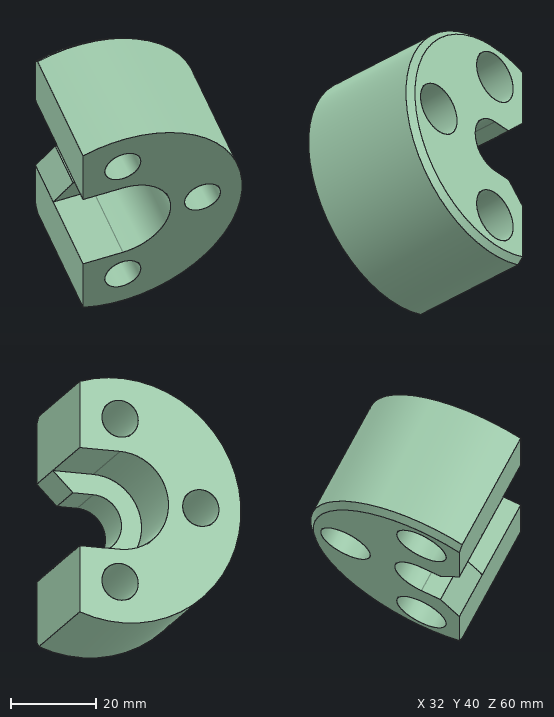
import cadquery as cq

disc_diameter = 60.0
disc_radius = disc_diameter / 2
thickness = 32.0
flat_y = -disc_radius / 3
rim_chamfer = 1.5

front_depth = 12.0
narrow_radius = 7.0
wide_radius = 12.0
mouth_flare = wide_radius - narrow_radius

bolt_circle_radius = disc_diameter / 3
bolt_hole_diameter = 9.0
counterbore_diameter = 13.0
counterbore_depth = 12.0
bolt_positions = [
    (bolt_circle_radius, 0),
    (0, bolt_circle_radius),
    (0, -bolt_circle_radius),
]


def make_body():
    """Disc chamfered at its front rim, then cut flat."""
    disc = cq.Workplane("YZ").circle(disc_radius).extrude(thickness)
    disc = disc.faces("<X").edges().chamfer(rim_chamfer)
    kept_side = cq.Workplane("XY").box(
        thickness, disc_radius - flat_y, disc_diameter, centered=(False, False, True)
    ).translate((0, flat_y, 0))
    return disc.intersect(kept_side)


def make_narrow_slot():
    """Round-ended slot whose mouth flares at 45 degrees to the wide slot's width."""
    flare_start_y = flat_y + mouth_flare
    return (
        cq.Workplane("YZ")
        .moveTo(flat_y, -wide_radius)
        .lineTo(flare_start_y, -narrow_radius)
        .lineTo(0, -narrow_radius)
        .threePointArc((narrow_radius, 0), (0, narrow_radius))
        .lineTo(flare_start_y, narrow_radius)
        .lineTo(flat_y, wide_radius)
        .close()
        .extrude(front_depth)
    )


def make_wide_slot():
    """Round-ended slot with parallel walls, from the narrow slot to the rear face."""
    return (
        cq.Workplane("YZ", origin=(front_depth, 0, 0))
        .moveTo(flat_y, -wide_radius)
        .lineTo(0, -wide_radius)
        .threePointArc((wide_radius, 0), (0, wide_radius))
        .lineTo(flat_y, wide_radius)
        .close()
        .extrude(thickness - front_depth)
    )


def make_bolt_holes(diameter, depth):
    """Cylinders at the bolt positions, running back from the front face."""
    return cq.Workplane("YZ").pushPoints(bolt_positions).circle(diameter / 2).extrude(depth)


result = (
    make_body()
    .cut(make_narrow_slot())
    .cut(make_wide_slot())
    .cut(make_bolt_holes(bolt_hole_diameter, thickness))
    .cut(make_bolt_holes(counterbore_diameter, counterbore_depth))
)